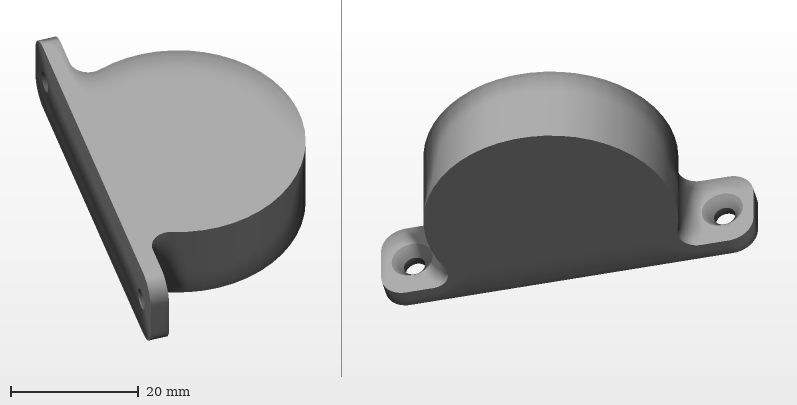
import cadquery as cq
import math

plate_length = 60.0
plate_thickness = 3.0
height = 13.5
corner_radius = 4.0
hole_diameter = 3.4
hole_spacing = 50.0
countersink_diameter = 6.6
countersink_angle = 90

body_radius = 20.0
total_depth = 33.95
body_center_y = total_depth - body_radius
neck_radius = 3.0


def make_plate():
    """Plate with rounded corners and two through holes countersunk from the back."""
    return (
        cq.Workplane("XZ")
        .rect(plate_length, height)
        .extrude(-plate_thickness)
        .edges("|Y")
        .fillet(corner_radius)
        .faces(">Y")
        .workplane(origin=(0, plate_thickness, 0))
        .pushPoints([(-hole_spacing / 2, 0), (hole_spacing / 2, 0)])
        .cskHole(hole_diameter, countersink_diameter, countersink_angle)
    )


def make_body():
    """Disc flowing into the plate through a tangent concave arc on each side."""
    center_distance = body_radius + neck_radius
    blend_y = plate_thickness + neck_radius
    blend_x = math.sqrt(center_distance**2 - (body_center_y - blend_y) ** 2)

    share = body_radius / center_distance
    tangent_x = blend_x * share
    tangent_y = body_center_y + (blend_y - body_center_y) * share

    disc_end_angle = math.atan2(tangent_y - blend_y, tangent_x - blend_x)
    plate_end_angle = 1.5 * math.pi
    middle_angle = (disc_end_angle + plate_end_angle) / 2
    middle_x = blend_x + neck_radius * math.cos(middle_angle)
    middle_y = blend_y + neck_radius * math.sin(middle_angle)

    return (
        cq.Workplane("XY", origin=(0, 0, -height / 2))
        .moveTo(-blend_x, 0)
        .lineTo(blend_x, 0)
        .lineTo(blend_x, plate_thickness)
        .threePointArc((middle_x, middle_y), (tangent_x, tangent_y))
        .threePointArc((0, total_depth), (-tangent_x, tangent_y))
        .threePointArc((-middle_x, middle_y), (-blend_x, plate_thickness))
        .close()
        .extrude(height)
    )


result = make_plate().union(make_body())